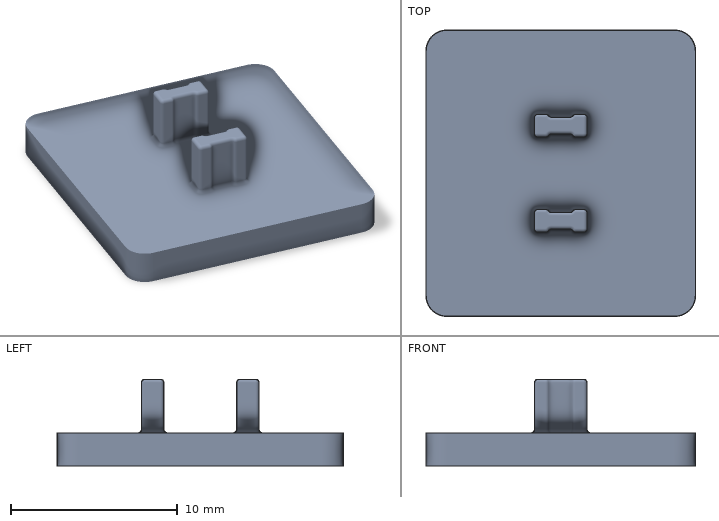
import cadquery as cq
import math

plate_length_x = 16.15
plate_length_y = 17.15
plate_thickness = 2.0
plate_corner_radius = 1.25

post_pitch_y = 5.7
post_length_x = 3.15
post_width_y = 1.35
post_height = 3.2
edge_radius = 0.2

recess_depth = 0.175
recess_floor_length = 1.12
blend_radius = edge_radius


def make_plate():
    """Flat plate with rounded vertical corners, bottom face on Z = 0."""
    plate = cq.Workplane("XY").box(
        plate_length_x, plate_length_y, plate_thickness, centered=(True, True, False)
    )
    return plate.edges("|Z").fillet(plate_corner_radius)


def recess_cutter(side):
    """Recess on the +Y (side = 1) or -Y (side = -1) face, with S-shaped ends of two tangent arcs."""
    turn = math.acos(1 - recess_depth / (2 * blend_radius))
    half_floor = recess_floor_length / 2
    arc_run = blend_radius * math.sin(turn)
    half_turn_run = blend_radius * math.sin(turn / 2)
    half_turn_rise = blend_radius * (1 - math.cos(turn / 2))
    x_middle = half_floor + arc_run
    x_outer = x_middle + arc_run
    face_y = post_width_y / 2
    floor_y = face_y - recess_depth
    middle_y = face_y - recess_depth / 2

    def at(x, y):
        return (x, side * y)

    return (
        cq.Workplane("XY")
        .workplane(offset=plate_thickness)
        .moveTo(*at(-half_floor, floor_y))
        .lineTo(*at(half_floor, floor_y))
        .threePointArc(at(half_floor + half_turn_run, floor_y + half_turn_rise), at(x_middle, middle_y))
        .threePointArc(at(x_outer - half_turn_run, face_y - half_turn_rise), at(x_outer, face_y))
        .lineTo(*at(-x_outer, face_y))
        .threePointArc(at(-x_outer + half_turn_run, face_y - half_turn_rise), at(-x_middle, middle_y))
        .threePointArc(at(-half_floor - half_turn_run, floor_y + half_turn_rise), at(-half_floor, floor_y))
        .close()
        .extrude(post_height)
    )


def make_post():
    """Waisted post at X = Y = 0 with rounded corners and a rounded top rim."""
    post = (
        cq.Workplane("XY")
        .workplane(offset=plate_thickness)
        .rect(post_length_x, post_width_y)
        .extrude(post_height)
        .edges("|Z")
        .fillet(edge_radius)
    )
    for side in (1, -1):
        post = post.cut(recess_cutter(side))
    return post.faces(">Z").edges().fillet(edge_radius)


def add_root_fillets(body):
    """Fillet where the posts meet the top of the plate."""
    half_x = post_length_x / 2 + edge_radius
    half_y = (post_pitch_y + post_width_y) / 2 + edge_radius
    root_zone = cq.selectors.BoxSelector(
        (-half_x, -half_y, plate_thickness - edge_radius / 2),
        (half_x, half_y, plate_thickness + edge_radius / 2),
    )
    return body.edges(root_zone).fillet(edge_radius)


result = make_plate()
for direction in (1, -1):
    result = result.union(make_post().translate((0, direction * post_pitch_y / 2, 0)))
result = add_root_fillets(result)